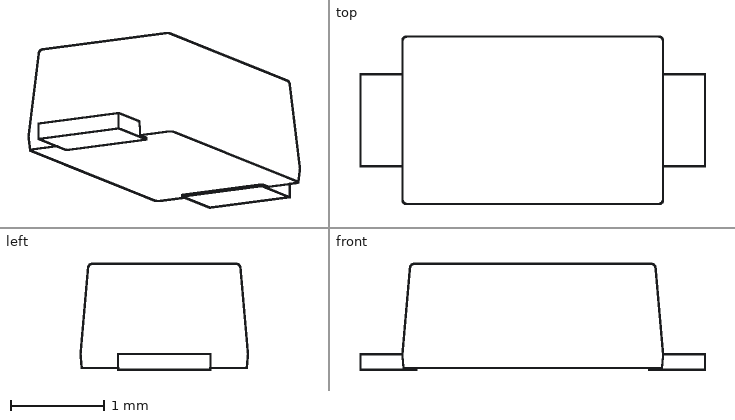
import cadquery as cq

body_length = 2.8
body_width = 1.8
body_bottom = 0.02
body_top = 1.14
draft_angle = 5.0
edge_radius = 0.05

overall_length = 3.7
lead_length = 0.6
lead_width = 0.99
lead_thickness = 0.17
parting_height = lead_thickness


def drafted_half(height):
    """Half of the body, narrowing away from the parting plane; a negative height goes down."""
    return (
        cq.Workplane("XY")
        .workplane(offset=parting_height)
        .rect(body_length, body_width)
        .extrude(height, taper=draft_angle)
    )


def make_body():
    """Upper half rounded at its corners and top, lower half only at its corners."""
    upper = drafted_half(body_top - parting_height)
    upper = upper.edges("not <Z").fillet(edge_radius)
    lower = drafted_half(body_bottom - parting_height)
    lower = lower.edges("not #Z").fillet(edge_radius)
    return upper.union(lower)


def make_lead(side):
    """Lead at the +X end (side = 1) or the -X end (side = -1), reaching in under the body."""
    center_x = side * (overall_length - lead_length) / 2
    return (
        cq.Workplane("XY")
        .center(center_x, 0)
        .rect(lead_length, lead_width)
        .extrude(lead_thickness)
    )


result = make_body()
for side in (-1, 1):
    result = result.union(make_lead(side))